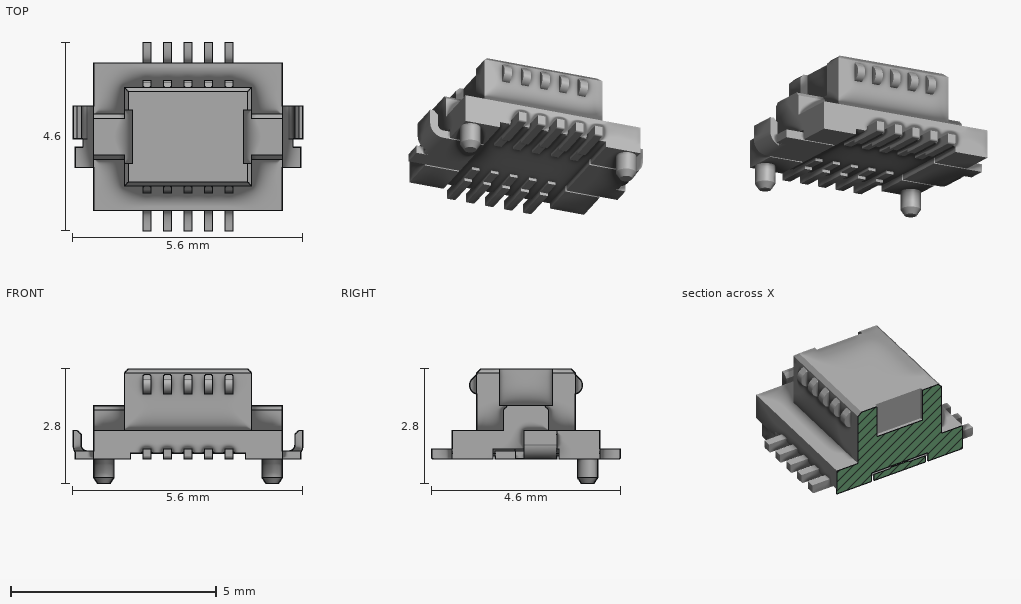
import cadquery as cq
import math


base_length = 4.6
base_width = 3.6
base_height = 0.7
relief_length = 2.8
relief_height = 0.14
clip_slot_width = 1.6
clip_slot_height = 0.25

tongue_length = 3.1
tongue_width = 2.4
tongue_top = 2.2
edge_chamfer = 0.1
shoulder_width = 1.1
shoulder_top = 1.3
end_notch_width = 1.3
end_notch_depth = 0.2

terminal_count = 5
terminal_pitch = 0.5
terminal_width = 0.2
terminal_height = 0.25
terminal_span = 4.6
tip_radius = 0.05
inner_lift = 0.07
inner_start = 0.7
foot_start = 1.2
pocket_margin = 0.05
pocket_height = 0.035
pocket_taper = 45

bump_bottom = 1.585
bump_crest = 1.8
bump_arc_end = 1.94
bump_top = 2.06
bump_projection = 0.175
bump_corner_width = 0.03
bump_corner_height = 0.04

clip_span = 5.6
clip_thickness = 0.2
clip_bend_radius = 0.145
clip_top = base_height
clip_chamfer = 0.1
hook_start = -0.05
clip_end = 0.75
neck_start = -0.25
neck_reach = 2.56
tab_start = -clip_end
tab_reach = 2.75
anchor_width = 0.54
anchor_rise = clip_slot_height - clip_thickness

peg_diameter = 0.5
peg_length = 0.6
peg_chamfer_radial = 0.1
peg_chamfer_axial = 0.15
peg_x = (base_length - peg_diameter) / 2
peg_y = 1.5

terminal_positions = [
    (index - (terminal_count - 1) / 2) * terminal_pitch for index in range(terminal_count)
]


def block(x_range, y_range, z_range):
    """Axis-aligned box given by its limits along each axis."""
    size = [limits[1] - limits[0] for limits in (x_range, y_range, z_range)]
    corner = (x_range[0], y_range[0], z_range[0])
    return cq.Workplane("XY").box(*size, centered=False).translate(corner)


def centered_block(length, width, bottom, top):
    """Box centred on the Z axis."""
    return block((-length / 2, length / 2), (-width / 2, width / 2), (bottom, top))


def with_x_mirror(shape):
    return shape.union(shape.mirror("YZ"))


def with_y_mirror(shape):
    return shape.union(shape.mirror("XZ"))


def make_tongue():
    tongue = centered_block(tongue_length, tongue_width, 0, tongue_top)
    tongue = tongue.faces(">Z").chamfer(edge_chamfer)
    notch = block(
        (tongue_length / 2 - end_notch_depth, tongue_length / 2),
        (-end_notch_width / 2, end_notch_width / 2),
        (shoulder_top, tongue_top),
    )
    return tongue.cut(with_x_mirror(notch))


def make_terminal_pocket(x):
    """Flared recess in the lower edge of the base, around one terminal."""
    length = terminal_width + 2 * pocket_margin
    return (
        cq.Workplane("XY", origin=(x, base_width / 2, relief_height))
        .rect(length, 2 * pocket_margin)
        .extrude(pocket_height, taper=pocket_taper)
    )


def make_housing():
    base = centered_block(base_length, base_width, 0, base_height)
    shoulder = centered_block(base_length, shoulder_width, 0, shoulder_top)
    shoulder = shoulder.edges("|X and >Z").chamfer(edge_chamfer)
    housing = base.union(shoulder).union(make_tongue())

    housing = housing.cut(centered_block(relief_length, base_width, 0, relief_height))
    clip_slot = block(
        (relief_length / 2, base_length / 2),
        (-clip_slot_width / 2, clip_slot_width / 2),
        (0, clip_slot_height),
    )
    housing = housing.cut(with_x_mirror(clip_slot))
    for x in terminal_positions:
        housing = housing.cut(with_y_mirror(make_terminal_pocket(x)))
    return housing


def make_terminal(x):
    """Solder foot on the +Y side with a raised inner stretch under the base."""
    x_range = (x - terminal_width / 2, x + terminal_width / 2)
    foot = block(x_range, (foot_start, terminal_span / 2), (0, terminal_height))
    foot = foot.faces(">Y").edges("<Z").fillet(tip_radius)
    inner = block(x_range, (inner_start, foot_start), (inner_lift, terminal_height))
    return foot.union(inner)


def make_bump(x):
    """Rounded contact on the +Y face of the tongue, rooted inside it."""
    face_y = tongue_width / 2
    root_y = face_y - bump_projection
    crest_y = face_y + bump_projection
    rise = bump_crest - bump_bottom
    radius = (bump_projection**2 + rise**2) / (2 * bump_projection)
    arc_end_y = crest_y - radius + math.sqrt(radius**2 - (bump_arc_end - bump_crest) ** 2)
    bump = (
        cq.Workplane("YZ", origin=(x - terminal_width / 2, 0, 0))
        .moveTo(root_y, bump_bottom)
        .lineTo(face_y, bump_bottom)
        .threePointArc((crest_y, bump_crest), (arc_end_y, bump_arc_end))
        .lineTo(face_y, bump_top)
        .lineTo(root_y, bump_top)
        .close()
        .extrude(terminal_width)
    )
    outline = block(
        (x - terminal_width / 2, x + terminal_width / 2),
        (root_y, crest_y),
        (bump_bottom, bump_top),
    )
    outline = outline.edges("|Y and >Z").chamfer(bump_corner_height, bump_corner_width)
    return bump.intersect(outline)


def make_clip():
    """Clip at the +X end: upturned hook, neck cut from its bend, flat tab and anchor."""
    outer_x = clip_span / 2
    inner_x = outer_x - clip_thickness
    outer_radius = clip_bend_radius + clip_thickness
    bend_x = outer_x - outer_radius
    diagonal = math.sqrt(0.5)
    strip = (
        cq.Workplane("XZ", origin=(0, clip_end, 0))
        .moveTo(relief_length / 2, 0)
        .lineTo(bend_x, 0)
        .threePointArc(
            (bend_x + outer_radius * diagonal, outer_radius * (1 - diagonal)),
            (outer_x, outer_radius),
        )
        .lineTo(outer_x, clip_top)
        .lineTo(inner_x + clip_chamfer, clip_top)
        .lineTo(inner_x, clip_top - clip_chamfer)
        .lineTo(inner_x, outer_radius)
        .threePointArc(
            (
                bend_x + clip_bend_radius * diagonal,
                outer_radius - clip_bend_radius * diagonal,
            ),
            (bend_x, clip_thickness),
        )
        .lineTo(relief_length / 2, clip_thickness)
        .close()
        .extrude(clip_end - neck_start)
    )
    beyond_neck = block((neck_reach, outer_x), (neck_start, hook_start), (0, clip_top))
    above_neck = block(
        (base_length / 2, neck_reach), (neck_start, hook_start), (clip_thickness, clip_top)
    )
    tab = block((relief_length / 2, tab_reach), (tab_start, neck_start), (0, clip_thickness))
    return strip.cut(beyond_neck).cut(above_neck).union(tab).union(make_anchor())


def make_anchor():
    """Small 45-degree ramp on the clip's inner end, inside the slot at +X."""
    return (
        cq.Workplane("XZ", origin=(0, anchor_width / 2, 0))
        .moveTo(relief_length / 2, 0)
        .lineTo(relief_length / 2 + anchor_rise, 0)
        .lineTo(relief_length / 2 + anchor_rise, clip_thickness)
        .lineTo(relief_length / 2, clip_slot_height)
        .close()
        .extrude(anchor_width)
    )


def make_peg():
    return (
        cq.Workplane("XY", origin=(peg_x, peg_y, 0))
        .circle(peg_diameter / 2)
        .extrude(-peg_length)
        .faces("<Z")
        .chamfer(peg_chamfer_axial, peg_chamfer_radial)
    )


result = make_housing()
for terminal_x in terminal_positions:
    result = result.union(with_y_mirror(make_terminal(terminal_x)))
    result = result.union(with_y_mirror(make_bump(terminal_x)))
result = result.union(with_x_mirror(make_clip()))
result = result.union(with_x_mirror(make_peg()))